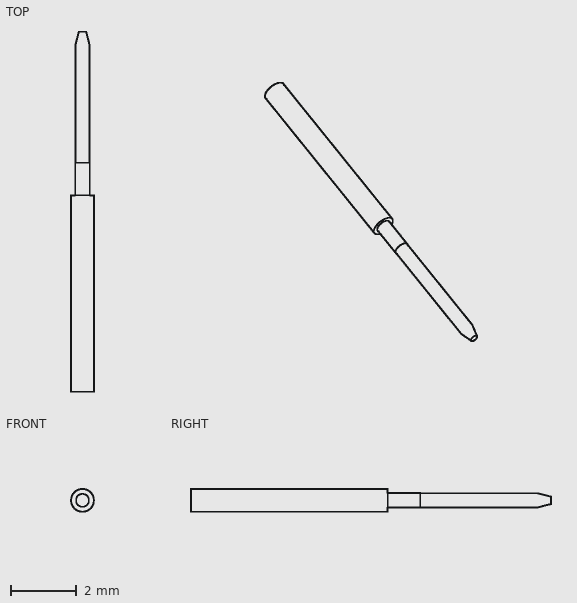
import cadquery as cq
import math

total_length = 11.0
sleeve_diameter = 0.7
sleeve_length = 6.01
bore_diameter = 0.4
bore_depth = 4.0
drill_point_angle = 118.0
neck_diameter = 0.45
neck_length = 1.0
pin_diameter = 0.44
tip_diameter = 0.23
tip_length = 0.41

sleeve_start = -total_length / 2
sleeve_end = sleeve_start + sleeve_length
neck_end = sleeve_end + neck_length
tip_end = total_length / 2
tip_start = tip_end - tip_length


def turned_body():
    """Half section revolved about the Y axis."""
    return (
        cq.Workplane("XY")
        .moveTo(0, sleeve_start)
        .lineTo(sleeve_diameter / 2, sleeve_start)
        .lineTo(sleeve_diameter / 2, sleeve_end)
        .lineTo(neck_diameter / 2, sleeve_end)
        .lineTo(neck_diameter / 2, neck_end)
        .lineTo(pin_diameter / 2, neck_end)
        .lineTo(pin_diameter / 2, tip_start)
        .lineTo(tip_diameter / 2, tip_end)
        .lineTo(0, tip_end)
        .close()
        .revolve(360, (0, 0), (0, 1))
    )


def bore():
    """Blind hole in the open end of the sleeve, with a conical drill-point bottom."""
    radius = bore_diameter / 2
    cone_start = sleeve_start + bore_depth
    cone_height = radius / math.tan(math.radians(drill_point_angle / 2))
    return (
        cq.Workplane("XY")
        .moveTo(0, sleeve_start)
        .lineTo(radius, sleeve_start)
        .lineTo(radius, cone_start)
        .lineTo(0, cone_start + cone_height)
        .close()
        .revolve(360, (0, 0), (0, 1))
    )


result = turned_body().cut(bore())